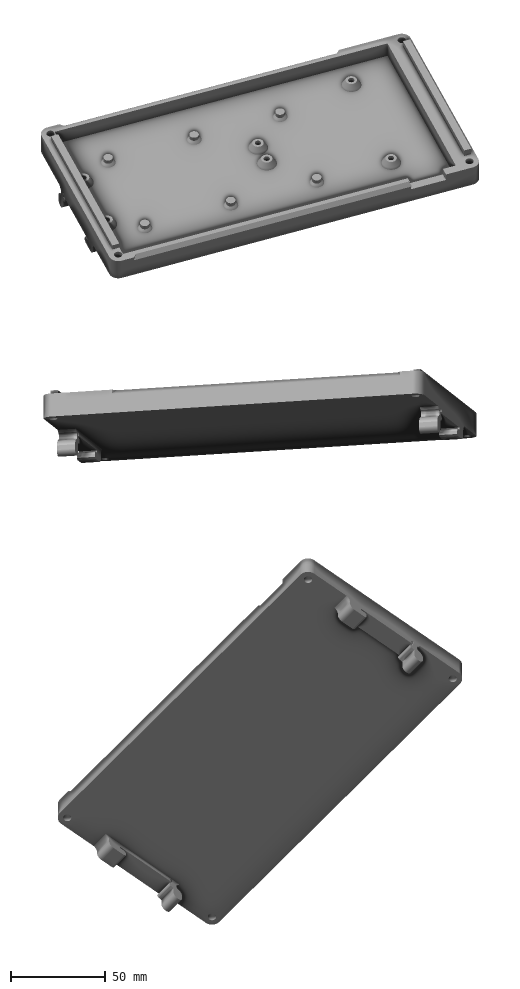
import cadquery as cq
length = 210.0
width = 110.0
height = 12.5
floor_thickness = 3.5
corner_radius = 5.0

pocket_width = 100.8
pocket_back = 92.0
pocket_front = -97.5

hole_diameter = 4.5

ridge_length = 90.3
ridge_width = 4.0
back_ridge_height = 4.0
front_ridge_height = 3.0
back_ridge_center = 100.8
front_ridge_center = pocket_front - ridge_width / 2

bevel = 2.0
bevel_back = 66.2
bevel_front = -93.0

notch_back = 84.6
notch_length = 20.0
notch_depth = 4.0

post_base_diameter = 10.7
post_top_diameter = 6.0
post_height = 3.5
pilot_diameter = 3.4
post_centers = [
    (-36.3, 66.0),
    (27.3, 64.0),
    (-9.0, 2.3),
    (4.0, 2.3),
    (-17.5, -93.7),
    (17.2, -93.7),
]

pin_base_diameter = 8.0
pin_diameter = 5.0
pin_foot_height = 1.5
pin_height = 3.8
pin_spacing_x = 54.2
pin_spacing_y = 49.0
pin_columns = 2
pin_rows = 3
first_pin = (-27.0, -76.0)

clip_thickness = 10.0
clip_pitch = length - clip_thickness

latch_root = (-23.5, 0)
neck_top = (-22.3, -1.5)
neck_bend = (-21.5, -2.0)
neck_waist = (-21.2, -3.0)
neck_flare = (-21.2, -4.0)
neck_foot = (-21.8, -5.2)
shoulder_bend = (-24.2, -6.5)
shoulder_z = -8.8
lever_left = -25.2
lever_bottom = -14.3
lever_radius = 3.0
lever_center = (lever_left + lever_radius, lever_bottom + lever_radius)
lever_right = lever_left + 2 * lever_radius
toe_root_z = -7.1
toe_underside = (-17.6, -6.7)
toe_tip = (-16.4, -5.0)
neck_right = -18.3

seat_z = -2.7
seat_left = -17.6
relief_center = (-18.0, -1.3)
relief_radius = 0.95

lip_top = -4.0
hook_throat_x = 17.6
lip_top_left = 15.1
lip_bend = (14.0, -4.5)
lip_tip_x = 13.6
lip_tip_top = -5.5
lip_tip_bottom = -7.1
hook_bottom = -8.0
hook_bottom_left = 15.0
hook_bottom_right = 22.0
hook_heel_bend = (24.4, -7.0)
hook_right = 25.2
hook_heel_z = -5.2
hook_fillet_z = -3.2
hook_fillet_bend = (25.8, -1.3)
hook_root = (27.5, 0)


def tray():
    body = cq.Workplane("XY").box(width, length, height, centered=(True, True, False))
    body = body.edges("|Z").fillet(corner_radius)
    pocket = (
        cq.Workplane("XY", origin=(0, (pocket_back + pocket_front) / 2, floor_thickness))
        .rect(pocket_width, pocket_back - pocket_front)
        .extrude(height)
    )
    return body.cut(pocket)


def ridge(center_y, ridge_height):
    return (
        cq.Workplane("XY", origin=(0, center_y, height))
        .rect(ridge_length, ridge_width)
        .extrude(ridge_height)
    )


def corner_holes():
    inset = 2 * corner_radius
    return (
        cq.Workplane("XY")
        .rect(width - inset, length - inset, forConstruction=True)
        .vertices()
        .circle(hole_diameter / 2)
        .extrude(height)
    )


def side_bevel():
    """Wedge along the top edge of the -X wall, with its ends mitred at 45 degrees in plan."""
    outer = -width / 2
    inner = outer + bevel
    wedge = (
        cq.Workplane("XZ", origin=(0, bevel_back, 0))
        .polyline([(outer, height), (inner, height), (outer, height - bevel)])
        .close()
        .extrude(bevel_back - bevel_front)
    )
    plan = (
        cq.Workplane("XY")
        .polyline([
            (outer, bevel_back),
            (inner, bevel_back - bevel),
            (inner, bevel_front + bevel),
            (outer, bevel_front),
        ])
        .close()
        .extrude(height)
    )
    return wedge.intersect(plan)


def cable_notch():
    return (
        cq.Workplane("XY")
        .box(width / 2, notch_length, notch_depth, centered=False)
        .translate((pocket_width / 2, notch_back - notch_length, height - notch_depth))
    )


def cone(base_diameter, top_diameter, cone_height):
    return cq.Workplane(cq.Solid.makeCone(base_diameter / 2, top_diameter / 2, cone_height))


def screw_post():
    pilot = cq.Workplane("XY").circle(pilot_diameter / 2).extrude(post_height)
    return cone(post_base_diameter, post_top_diameter, post_height).cut(pilot)


def locating_pin():
    pin = cq.Workplane("XY").circle(pin_diameter / 2).extrude(pin_height)
    return cone(pin_base_diameter, pin_diameter, pin_foot_height).union(pin)


def rail_clip(back_y):
    """Clip profile in XZ: springy latch on the left, fixed hook on the right, rail seat between."""
    profile = (
        cq.Workplane("XZ", origin=(0, back_y, 0))
        .moveTo(*latch_root)
        .lineTo(*neck_top)
        .threePointArc(neck_bend, neck_waist)
        .threePointArc(neck_flare, neck_foot)
        .threePointArc(shoulder_bend, (lever_left, shoulder_z))
        .lineTo(lever_left, lever_center[1])
        .threePointArc((lever_center[0], lever_bottom), (lever_right, lever_center[1]))
        .lineTo(lever_right, toe_root_z)
        .lineTo(*toe_underside)
        .threePointArc(toe_tip, (neck_right, lip_top))
        .lineTo(neck_right, relief_center[1])
        .lineTo(seat_left, relief_center[1])
        .lineTo(seat_left, seat_z)
        .lineTo(hook_throat_x, seat_z)
        .lineTo(hook_throat_x, lip_top)
        .lineTo(lip_top_left, lip_top)
        .threePointArc(lip_bend, (lip_tip_x, lip_tip_top))
        .lineTo(lip_tip_x, lip_tip_bottom)
        .lineTo(hook_bottom_left, hook_bottom)
        .lineTo(hook_bottom_right, hook_bottom)
        .threePointArc(hook_heel_bend, (hook_right, hook_heel_z))
        .lineTo(hook_right, hook_fillet_z)
        .threePointArc(hook_fillet_bend, hook_root)
        .close()
        .extrude(clip_thickness)
    )
    relief = (
        cq.Workplane("XZ", origin=(0, back_y, 0))
        .center(*relief_center)
        .circle(relief_radius)
        .extrude(clip_thickness)
    )
    return profile.cut(relief)


result = tray()
result = result.union(ridge(back_ridge_center, back_ridge_height))
result = result.union(ridge(front_ridge_center, front_ridge_height))

for x, y in post_centers:
    result = result.union(screw_post().translate((x, y, floor_thickness)))

for column in range(pin_columns):
    for row in range(pin_rows):
        x = first_pin[0] + column * pin_spacing_x
        y = first_pin[1] + row * pin_spacing_y
        result = result.union(locating_pin().translate((x, y, floor_thickness)))

for back_y in (length / 2, length / 2 - clip_pitch):
    result = result.union(rail_clip(back_y))

left_bevel = side_bevel()
result = result.cut(left_bevel)
result = result.cut(left_bevel.mirror("YZ"))
result = result.cut(cable_notch())
result = result.cut(corner_holes())